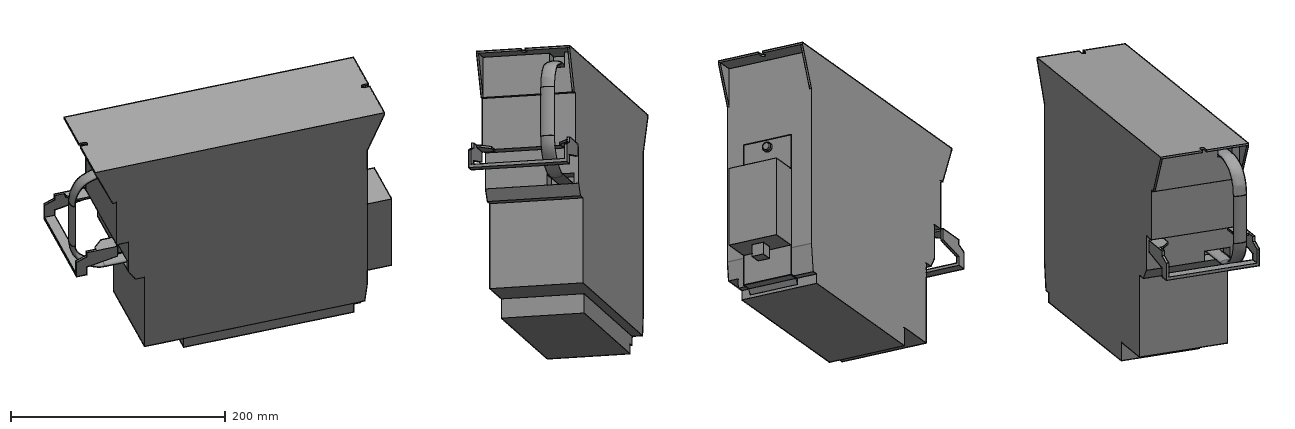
import cadquery as cq


WIDTH = 90.0
HEIGHT = 235.0
FLARE_REAR_Y = 17.1
LID_LENGTH = 285.2
FLARE_FRONT_Y = FLARE_REAR_Y - LID_LENGTH
FLARE_BOTTOM_Z = 194.5
SHEET = 2.0
PANEL_Y = -251.0
FACE_Y = -247.0
FACE_BOTTOM_Z = 145.0
LOWER_FACE_Y = -235.3
LOWER_FACE_BOTTOM_Z = 110.5
LEDGE_Y = -228.5
LEDGE_Z = 100.0
FOOT_FACE_Y = -219.5
FOOT_HEIGHT = 18.5
FOOT_FRONT_Y = -177.5
FOOT_CUT_WIDTH = 10.0
REAR_TAPER_TOP_Z = 37.0
REAR_TAPER_Y = -3.5
REAR_STEP_Z = 9.5
REAR_STEP_Y = -9.9

SLOT_WIDTH = 4.3
SLOT_LENGTH = 7.5

CABLE_X = 28.4
CABLE_WIDTH = 13.3
CABLE_THICKNESS = 4.8
SLEEVE_THICKNESS = 5.6
SLEEVE_Y = -285.4
SLEEVE_TOP_Z = 192.0
SLEEVE_BOTTOM_Z = 145.0
CABLE_UPPER_BEND = [(-280.0, 209.5), (-273.1, 216.0), (-265.6, 219.2)]
CABLE_UPPER_END_Z = 221.0
CABLE_LOWER_BEND = [(-276.5, 124.3), (-270.6, 119.6), (-263.0, 116.0)]
CABLE_LOWER_STRAIGHT_Y = -255.5
CABLE_LOWER_Z = 114.7

UPPER_NOTCH_LEFT_X = 21.0
UPPER_NOTCH_WIDTH = 14.4
UPPER_NOTCH_HEIGHT = 14.0
LOWER_RECESS_LEFT_X = 14.6
LOWER_RECESS_WIDTH = 25.9
LOWER_RECESS_HEIGHT = 10.0
OPENING_DEPTH = 15.0

HANDLE_PLATE = 2.5
HANDLE_FRONT_Y = -287.3
HANDLE_BAR_DEPTH = 10.0
HANDLE_BOTTOM_Z = 119.0
HANDLE_BAR_HEIGHT = 3.0
HANDLE_REAR_HEIGHT = 11.5
HANDLE_ARM_UNDERSIDE_Z = 128.0
HANDLE_SHOULDER_DROP = 5.0
HANDLE_FRONT_DROP = 9.0
TAB_WIDTH = 14.6
TAB_LENGTH = 20.5
TAB_CHAMFER = 9.0
TAB_THICKNESS = 2.0
TAB_OVERLAP = 0.2

PLATE_REAR_Y = 2.7
PLATE_THICKNESS = 1.0
PLATE_WIDTH = 50.5
PLATE_X = 0.7
PLATE_TOP_Z = 151.0
PLATE_BOTTOM_Z = 8.2
HOOK_LENGTH = 3.0
HOOK_DROP = 5.0
BOLT_Z = 142.8
BOLT_HEAD_DIAMETER = 9.0
BOLT_HEAD_HEIGHT = 3.8
BOLT_HEAD_CHAMFER = 1.0
BOLT_DIAMETER = 4.0
BOX_REAR_Y = 30.6
BOX_BOTTOM_Z = 38.5
BOX_TOP_Z = 116.5
PLUG_SIZE = 12.0
PLUG_REAR_GAP = 9.5


def block(x0, x1, y0, y1, z0, z1):
    """Box between two corners, each axis given as low then high."""
    return cq.Workplane("XY").box(x1 - x0, y1 - y0, z1 - z0, centered=False).translate((x0, y0, z0))


def side_profile(points, x0, x1):
    """Closed (y, z) outline extruded from x0 to x1."""
    return cq.Workplane("YZ").workplane(offset=x0).polyline(points).close().extrude(x1 - x0)


def lid_slot(edge_y, inward):
    """Round-ended slot through the lid, open at edge_y; inward is the Y sign of its closed end."""
    radius = SLOT_WIDTH / 2
    centre_y = edge_y + inward * (SLOT_LENGTH - radius)
    low_y, high_y = sorted((edge_y, centre_y))
    bottom_z = HEIGHT - SHEET
    straight = block(-radius, radius, low_y, high_y, bottom_z, HEIGHT)
    end = cq.Workplane("XY", origin=(0, centre_y, bottom_z)).circle(radius).extrude(SHEET)
    return straight.union(end)


def make_housing():
    half = WIDTH / 2
    outline = [
        (FLARE_REAR_Y, HEIGHT - SHEET),
        (FLARE_REAR_Y, HEIGHT),
        (FLARE_FRONT_Y, HEIGHT),
        (FLARE_FRONT_Y, HEIGHT - SHEET),
        (PANEL_Y, FLARE_BOTTOM_Z),
        (FACE_Y, FLARE_BOTTOM_Z),
        (FACE_Y, FACE_BOTTOM_Z),
        (LOWER_FACE_Y, FACE_BOTTOM_Z),
        (LOWER_FACE_Y, LOWER_FACE_BOTTOM_Z),
        (LEDGE_Y, LEDGE_Z),
        (FOOT_FACE_Y, LEDGE_Z),
        (FOOT_FACE_Y, FOOT_HEIGHT),
        (FOOT_FRONT_Y, FOOT_HEIGHT),
        (FOOT_FRONT_Y, 0),
        (REAR_STEP_Y, 0),
        (REAR_STEP_Y, REAR_STEP_Z),
        (REAR_TAPER_Y, REAR_STEP_Z),
        (0, REAR_TAPER_TOP_Z),
        (0, FLARE_BOTTOM_Z),
    ]
    housing = side_profile(outline, -half, half)

    inner = half - SHEET
    lid_underside = HEIGHT - SHEET
    housing = housing.cut(block(-inner, inner, FLARE_FRONT_Y, PANEL_Y, FLARE_BOTTOM_Z, lid_underside))
    housing = housing.cut(block(-inner, inner, 0, FLARE_REAR_Y, FLARE_BOTTOM_Z, lid_underside))
    housing = housing.cut(lid_slot(FLARE_FRONT_Y, 1))
    housing = housing.cut(lid_slot(FLARE_REAR_Y, -1))

    housing = housing.cut(block(half - FOOT_CUT_WIDTH, half, FOOT_FRONT_Y, 0, 0, FOOT_HEIGHT))

    housing = housing.cut(block(
        UPPER_NOTCH_LEFT_X, UPPER_NOTCH_LEFT_X + UPPER_NOTCH_WIDTH,
        PANEL_Y, PANEL_Y + OPENING_DEPTH,
        lid_underside - UPPER_NOTCH_HEIGHT, lid_underside,
    ))
    return housing.cut(block(
        LOWER_RECESS_LEFT_X, LOWER_RECESS_LEFT_X + LOWER_RECESS_WIDTH,
        LOWER_FACE_Y, LOWER_FACE_Y + OPENING_DEPTH,
        LOWER_FACE_BOTTOM_Z, LOWER_FACE_BOTTOM_Z + LOWER_RECESS_HEIGHT,
    ))


def make_cable():
    """Flat oval cable looping from the upper notch, through a straight sleeve, to the lower recess."""
    sleeve_top = (SLEEVE_Y, SLEEVE_TOP_Z)
    sleeve_bottom = (SLEEVE_Y, SLEEVE_BOTTOM_Z)
    upper_end = (PANEL_Y + OPENING_DEPTH, CABLE_UPPER_END_Z)
    lower_end_y = LOWER_FACE_Y + OPENING_DEPTH

    def path_start(point):
        return cq.Workplane("YZ", origin=(CABLE_X, 0, 0)).moveTo(*point)

    upper_path = path_start(sleeve_top).spline(
        CABLE_UPPER_BEND + [upper_end], tangents=[(0, 1), (1, 0)], includeCurrent=True
    )
    lower_path = path_start(sleeve_bottom).spline(
        CABLE_LOWER_BEND + [(CABLE_LOWER_STRAIGHT_Y, CABLE_LOWER_Z)],
        tangents=[(0, -1), (1, 0)], includeCurrent=True,
    ).lineTo(lower_end_y, CABLE_LOWER_Z)

    def section(z, thickness):
        plane = cq.Workplane("XY", origin=(CABLE_X, SLEEVE_Y, z))
        return plane.ellipse(CABLE_WIDTH / 2, thickness / 2)

    sleeve = section(SLEEVE_BOTTOM_Z, SLEEVE_THICKNESS).extrude(SLEEVE_TOP_Z - SLEEVE_BOTTOM_Z)
    upper = section(SLEEVE_TOP_Z, CABLE_THICKNESS).sweep(upper_path)
    lower = section(SLEEVE_BOTTOM_Z, CABLE_THICKNESS).sweep(lower_path)
    return sleeve.union(upper).union(lower)


def make_handle():
    inner = WIDTH / 2
    outer = inner + HANDLE_PLATE
    top = FACE_BOTTOM_Z
    bar_rear_y = HANDLE_FRONT_Y + HANDLE_BAR_DEPTH
    arm = [
        (FACE_Y, top),
        (bar_rear_y, top),
        (bar_rear_y, top - HANDLE_SHOULDER_DROP),
        (HANDLE_FRONT_Y, top - HANDLE_FRONT_DROP),
        (HANDLE_FRONT_Y, HANDLE_BOTTOM_Z),
        (bar_rear_y, HANDLE_BOTTOM_Z),
        (bar_rear_y, HANDLE_ARM_UNDERSIDE_Z),
        (FACE_Y, top - HANDLE_REAR_HEIGHT),
    ]
    tab_outline = [
        (-outer, FACE_Y),
        (-inner, FACE_Y),
        (-inner, FACE_Y + TAB_OVERLAP),
        (TAB_WIDTH - outer, FACE_Y + TAB_OVERLAP),
        (TAB_WIDTH - outer, FACE_Y - TAB_LENGTH + TAB_CHAMFER),
        (TAB_WIDTH - outer - TAB_CHAMFER, FACE_Y - TAB_LENGTH),
        (-outer, FACE_Y - TAB_LENGTH),
    ]
    tab_plane = cq.Workplane("XY", origin=(0, 0, top - TAB_THICKNESS))
    tab = tab_plane.polyline(tab_outline).close().extrude(TAB_THICKNESS)
    left_arm = side_profile(arm, -outer, -inner).union(tab)
    bar_top_z = HANDLE_BOTTOM_Z + HANDLE_BAR_HEIGHT
    bar = block(-outer, outer, HANDLE_FRONT_Y, bar_rear_y, HANDLE_BOTTOM_Z, bar_top_z)
    return bar.union(left_arm).union(left_arm.mirror("YZ"))


def make_rear_mount():
    left = PLATE_X - PLATE_WIDTH / 2
    right = PLATE_X + PLATE_WIDTH / 2
    plate_front_y = PLATE_REAR_Y - PLATE_THICKNESS
    flange_top_z = PLATE_BOTTOM_Z + PLATE_THICKNESS
    plate_outline = [
        (PLATE_REAR_Y, PLATE_TOP_Z),
        (PLATE_REAR_Y, PLATE_BOTTOM_Z),
        (REAR_STEP_Y + HOOK_LENGTH, PLATE_BOTTOM_Z),
        (REAR_STEP_Y, PLATE_BOTTOM_Z - HOOK_DROP),
        (REAR_STEP_Y, flange_top_z),
        (plate_front_y, flange_top_z),
        (plate_front_y, PLATE_TOP_Z),
    ]
    mount = side_profile(plate_outline, left, right)

    mount = mount.union(block(left, right, PLATE_REAR_Y, BOX_REAR_Y, BOX_BOTTOM_Z, BOX_TOP_Z))
    plug_rear_y = BOX_REAR_Y - PLUG_REAR_GAP
    mount = mount.union(block(
        PLATE_X - PLUG_SIZE / 2, PLATE_X + PLUG_SIZE / 2,
        plug_rear_y - PLUG_SIZE, plug_rear_y,
        BOX_BOTTOM_Z - PLUG_SIZE, BOX_BOTTOM_Z,
    ))

    bolt_plane = cq.Workplane("XZ", origin=(0, 0, BOLT_Z))
    shank = bolt_plane.circle(BOLT_DIAMETER / 2).extrude(-PLATE_REAR_Y)
    head = bolt_plane.workplane(offset=-PLATE_REAR_Y).circle(BOLT_HEAD_DIAMETER / 2)
    head = head.extrude(-BOLT_HEAD_HEIGHT).faces(">Y").chamfer(BOLT_HEAD_CHAMFER)
    return mount.union(shank).union(head)


result = make_housing().union(make_handle()).union(make_cable()).union(make_rear_mount())